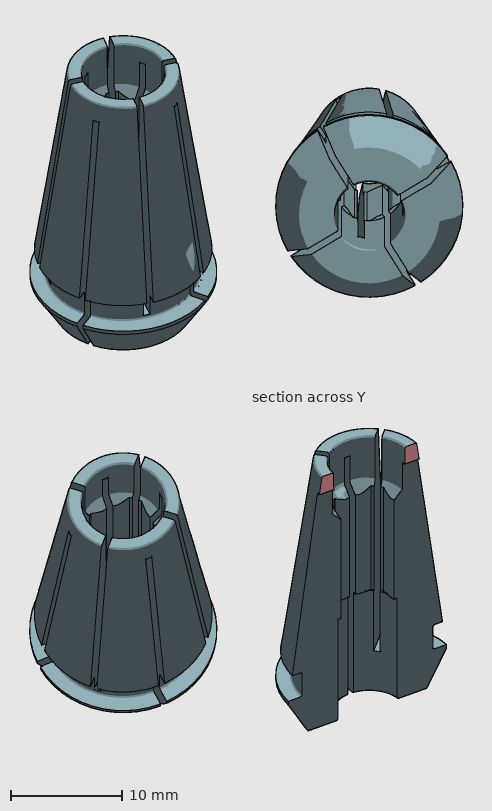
import cadquery as cq
import math

height = 27.5
flange_diameter = 16.8
flange_radius = flange_diameter / 2

nose_angle = 30.0
nose_fillet = 0.15
flange_edge_z = 3.63
flange_top_z = 4.02
groove_radius = 6.93
groove_top_z = 6.65
groove_fillet = 0.22
taper_angle = 8.0
taper_base_radius = 7.98
rim_fillet = 0.25

shank_bore_radius = 3.14
square_bore_radius = 2.83
square_side = 5.45
square_corner_radius = 3.33
square_base_z = 11.0
relief_radius = 3.75
relief_base_z = 22.75
relief_base_angle = 45.0
relief_fillet = 0.45
relief_mouth_fillet = 0.28
shank_mouth_fillet = 0.22

slot_width = 0.6
nut_slot_top_z = 25.58
rear_slot_base_z = 4.43

nose_radius = flange_radius - flange_edge_z * math.tan(math.radians(nose_angle))
taper_top_radius = taper_base_radius - (height - groove_top_z) * math.tan(math.radians(taper_angle))
relief_base_drop = (relief_radius - square_bore_radius) * math.tan(math.radians(relief_base_angle))

selection_margin = 0.03


def turned(outline):
    """Solid of revolution about Z from (radius, z) points that start and end on the axis."""
    return cq.Workplane("XZ").polyline(outline).close().revolve(360, (0, 0, 0), (0, 1, 0))


def edge_at(radius, z):
    """Selector for the edges at height z that reach no wider than the given radius."""
    reach = radius + selection_margin
    return cq.selectors.BoxSelector(
        (-reach, -reach, z - selection_margin), (reach, reach, z + selection_margin), boundingbox=True
    )


def collet_body():
    """Nose cone, flange, extraction groove and long taper."""
    body = turned([
        (0, 0),
        (nose_radius, 0),
        (flange_radius, flange_edge_z),
        (flange_radius, flange_top_z),
        (groove_radius, flange_top_z),
        (groove_radius, groove_top_z),
        (taper_base_radius, groove_top_z),
        (taper_top_radius, height),
        (0, height),
    ])
    body = body.edges(edge_at(nose_radius, 0)).fillet(nose_fillet)
    for z in (flange_top_z, groove_top_z):
        body = body.edges(edge_at(groove_radius, z)).fillet(groove_fillet)
    return body.edges(edge_at(taper_top_radius, height)).fillet(rim_fillet)


def relief_bore():
    """Wide bore at the narrow end, with a rounded conical bottom."""
    bore = turned([
        (0, relief_base_z - relief_base_drop),
        (square_bore_radius, relief_base_z - relief_base_drop),
        (relief_radius, relief_base_z),
        (relief_radius, height),
        (0, height),
    ])
    return bore.edges(edge_at(relief_radius, relief_base_z)).fillet(relief_fillet)


def shank_bore():
    return cq.Workplane("XY").circle(shank_bore_radius).extrude(square_base_z)


def square_drive():
    """Square socket with corners cut round, opened by a bore slightly wider than its flats."""
    depth = relief_base_z - square_base_z
    base = cq.Workplane("XY").workplane(offset=square_base_z)
    corner_limit = base.circle(square_corner_radius).extrude(depth)
    square = base.rect(square_side, square_side).extrude(depth).intersect(corner_limit)
    return square.union(base.circle(square_bore_radius).extrude(depth))


def crossed_slots(base_z, top_z, turn):
    """Two slots at right angles, each running right across the collet."""
    length = 2 * flange_radius + slot_width
    base = cq.Workplane("XY").workplane(offset=base_z)
    slot = base.rect(length, slot_width).extrude(top_z - base_z)
    crossing_slot = base.rect(slot_width, length).extrude(top_z - base_z)
    return slot.union(crossing_slot).rotate((0, 0, 0), (0, 0, 1), turn)


bored = collet_body().cut(shank_bore()).cut(square_drive()).cut(relief_bore())
bored = bored.edges(edge_at(shank_bore_radius, 0)).fillet(shank_mouth_fillet)
bored = bored.edges(edge_at(relief_radius, height)).fillet(relief_mouth_fillet)

result = (
    bored
    .cut(crossed_slots(0, nut_slot_top_z, 0))
    .cut(crossed_slots(rear_slot_base_z, height, 45))
)